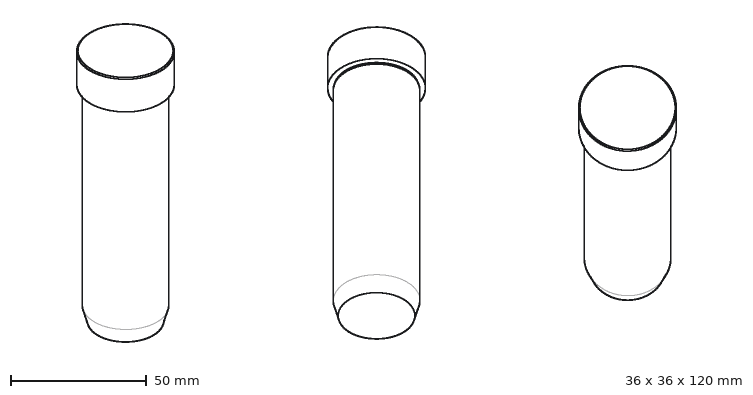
import cadquery as cq
import math

total_length = 120.0
head_diameter = 36.0
head_height = 15.0
head_chamfer = 0.5
shank_diameter = 32.0

groove_width = 1.0
groove_depth = 0.3
groove_taper_height = 0.6

lead_length = 7.0
lead_angle = 15.0

head_radius = head_diameter / 2
shank_radius = shank_diameter / 2
groove_radius = shank_radius - groove_depth
tip_radius = shank_radius - lead_length * math.tan(math.radians(lead_angle))
head_underside = total_length - head_height
groove_bottom = head_underside - groove_width


def make_pin():
    """Revolve the half profile (radius, height) about the Z axis."""
    profile = (
        cq.Workplane("XZ")
        .moveTo(0, 0)
        .lineTo(tip_radius, 0)
        .lineTo(shank_radius, lead_length)
        .lineTo(shank_radius, groove_bottom)
        .lineTo(groove_radius, groove_bottom + groove_taper_height)
        .lineTo(groove_radius, head_underside)
        .lineTo(head_radius, head_underside)
        .lineTo(head_radius, total_length - head_chamfer)
        .lineTo(head_radius - head_chamfer, total_length)
        .lineTo(0, total_length)
        .close()
    )
    return profile.revolve(360, (0, 0, 0), (0, 1, 0))


result = make_pin()